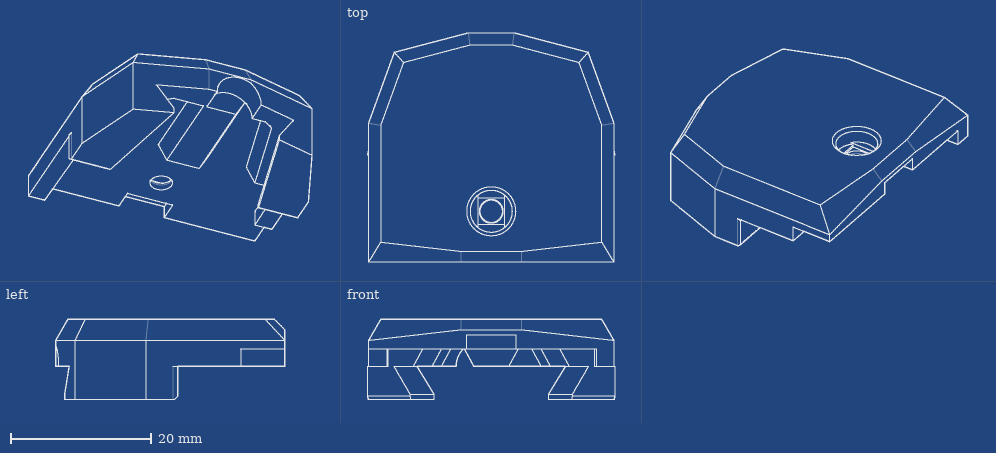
import cadquery as cq
import math

height = 11.5
half_width = 17.53
depth = 32.75

shoulder_y = 19.84
corner_x = 13.85
corner_y = 29.97
back_half_width = 3.27

leg_top_z = 4.78
ceiling_z = 7.22
rim_z = 8.46

bevel_angle = 30
front_flat_half_width = 4.3
front_flat_z = 9.98

notch_width = 7.0
notch_height = 2.0
notch_roof_length = 2.0
notch_ramp_angle = 30
notch_ramp_length = notch_height * math.tan(math.radians(notch_ramp_angle))

bay_front_half = 15.0
bay_back_half = 14.75
leg_front_y = 15.3
open_corner_length = 6.3

taper_angle = 12
taper_slope = math.tan(math.radians(taper_angle))
channel_front_half = 9.8
channel_knee_half = 7.12
channel_end_half = 5.8
channel_end_length = 0.97
channel_lean = 1.32
channel_knee_y = leg_front_y + (channel_front_half - channel_knee_half) / taper_slope
channel_end_y = channel_knee_y + channel_end_length

rail_top_half = 3.83
rail_foot_half = rail_top_half - channel_lean

bore_diameter = 7.0
bore_x = -1.5

lip_z = 0.77
leg_gap_half_low = 11.58
leg_gap_half_high = 13.9
leg_chamfer = 0.5
leg_half_width = 17.67
flare = leg_half_width - half_width
flare_length = flare / taper_slope

screw_y = 7.26
screw_lead_diameter = 3.4
screw_diameter = 3.2
screw_lead_length = 0.4
head_diameter = 6.0
head_chamfer = 0.5
head_floor_z = 9.1
bridge_width = 3.8
bridge_step = 0.3

reach = 5.0


def mirrored(right_points):
    """Close a right-hand half outline with its mirror image across x = 0."""
    return right_points + [(-x, y) for x, y in reversed(right_points)]


def prism(points, z_low, z_high):
    return cq.Workplane("XY").workplane(offset=z_low).polyline(points).close().extrude(z_high - z_low)


def ruled_prism(low_points, high_points, z_low, z_high):
    return (
        cq.Workplane("XY").workplane(offset=z_low).polyline(low_points).close()
        .workplane(offset=z_high - z_low).polyline(high_points).close()
        .loft(ruled=True)
    )


def side_profile(points, x_low, x_high):
    """Extrude a (y, z) outline along X."""
    return cq.Workplane("YZ").workplane(offset=x_low).polyline(points).close().extrude(x_high - x_low)


def box(x_low, x_high, y_low, y_high, z_low, z_high):
    size = (x_high - x_low, y_high - y_low, z_high - z_low)
    return cq.Workplane("XY").box(*size, centered=False).translate((x_low, y_low, z_low))


def outline(front_y):
    return mirrored([
        (half_width, front_y),
        (half_width, shoulder_y),
        (corner_x, corner_y),
        (back_half_width, depth),
    ])


def make_cover():
    """Plate and skirt, bevelled all round the top."""
    skirt = prism(outline(0), leg_top_z, rim_z)
    crown = (
        cq.Workplane("XY").workplane(offset=rim_z).polyline(outline(-reach)).close()
        .extrude(height - rim_z, taper=bevel_angle)
    )
    front = box(-half_width, half_width, -2 * reach, 0, rim_z, height)
    return skirt.union(crown.cut(front)).cut(front_bevel())


def front_bevel():
    """Tool for the 45 degree front bevel whose lower edge drops towards both sides."""
    edge_slope = (front_flat_z - rim_z) / (half_width - front_flat_half_width)
    outer_x = half_width + reach
    outer_z = rim_z - edge_slope * reach

    def section(y):
        edge = [(front_flat_half_width, front_flat_z + y), (outer_x, outer_z + y)]
        return mirrored(edge + [(outer_x, height + 2 * reach)])

    return (
        cq.Workplane("XZ").polyline(section(0)).close()
        .workplane(offset=-reach).polyline(section(reach)).close()
        .loft(ruled=True)
    )


def make_legs():
    block = prism(outline(leg_front_y), 0, leg_top_z)
    for side in (-1, 1):
        flare_points = [
            (side * half_width, leg_front_y),
            (side * leg_half_width, leg_front_y),
            (side * half_width, leg_front_y + flare_length),
        ]
        block = block.union(prism(flare_points, 0, leg_top_z))
    gap_length = depth + reach - leg_front_y

    def gap_outline(front_half):
        return mirrored([
            (front_half, leg_front_y),
            (front_half - gap_length * taper_slope, leg_front_y + gap_length),
        ])

    low = gap_outline(leg_gap_half_low)
    high = gap_outline(leg_gap_half_high)
    chamfer = side_profile(
        [(leg_front_y, 0), (leg_front_y + leg_chamfer, 0), (leg_front_y, leg_chamfer)],
        -half_width - reach, half_width + reach,
    )
    return block.cut(prism(low, 0, lip_z)).cut(ruled_prism(low, high, lip_z, leg_top_z)).cut(chamfer)


def underside_cavity():
    """Open bay and narrowing channel, with the dovetail rail left standing."""
    bay_outline = mirrored([(bay_front_half, 0), (bay_back_half, leg_front_y)])
    bay = prism(bay_outline, leg_top_z, ceiling_z)
    open_corner = box(-half_width, -bay_back_half, 0, open_corner_length, leg_top_z, ceiling_z)

    def channel_outline(widening):
        return mirrored([
            (channel_front_half + widening, leg_front_y),
            (channel_knee_half + widening, channel_knee_y),
            (channel_end_half + widening, channel_end_y),
        ])

    def rail_outline(half):
        return mirrored([(half, leg_front_y), (half, channel_end_y)])

    channel = ruled_prism(channel_outline(channel_lean), channel_outline(0), leg_top_z, ceiling_z)
    rail = ruled_prism(rail_outline(rail_foot_half), rail_outline(rail_top_half), leg_top_z, ceiling_z)
    return bay.union(open_corner).union(channel.cut(rail))


def front_notch():
    return side_profile(
        [
            (0, ceiling_z),
            (notch_roof_length + notch_ramp_length, ceiling_z),
            (notch_roof_length, ceiling_z + notch_height),
            (0, ceiling_z + notch_height),
        ],
        -notch_width / 2, notch_width / 2,
    )


def cable_bore():
    return (
        cq.Workplane("XZ", origin=(bore_x, channel_end_y, leg_top_z))
        .circle(bore_diameter / 2).extrude(channel_end_y - depth)
    )


def screw_hole():
    def cylinder(diameter, z_low, z_high):
        return (
            cq.Workplane("XY", origin=(0, screw_y, z_low))
            .circle(diameter / 2).extrude(z_high - z_low)
        )

    def cone(top_diameter, low_diameter, z_top, length):
        return (
            cq.Workplane("XY", origin=(0, screw_y, z_top)).circle(top_diameter / 2)
            .workplane(offset=-length).circle(low_diameter / 2).loft()
        )

    half = bridge_width / 2
    slot_z = head_floor_z - bridge_step
    square_z = slot_z - bridge_step
    head = cylinder(head_diameter, head_floor_z, height)
    mouth = cone(head_diameter + 2 * head_chamfer, head_diameter, height, head_chamfer)
    slot_box = box(-half, half, screw_y - head_diameter, screw_y + head_diameter, slot_z, head_floor_z)
    slot = cylinder(head_diameter, slot_z, head_floor_z).intersect(slot_box)
    square = box(-half, half, screw_y - half, screw_y + half, square_z, slot_z)
    shank = cylinder(screw_diameter, 0, height)
    lead_in = cone(screw_lead_diameter, screw_diameter, square_z, screw_lead_length)
    return head.union(mouth).union(slot).union(square).union(lead_in).union(shank)


result = (
    make_cover()
    .cut(underside_cavity())
    .cut(front_notch())
    .cut(cable_bore())
    .union(make_legs())
    .cut(screw_hole())
)